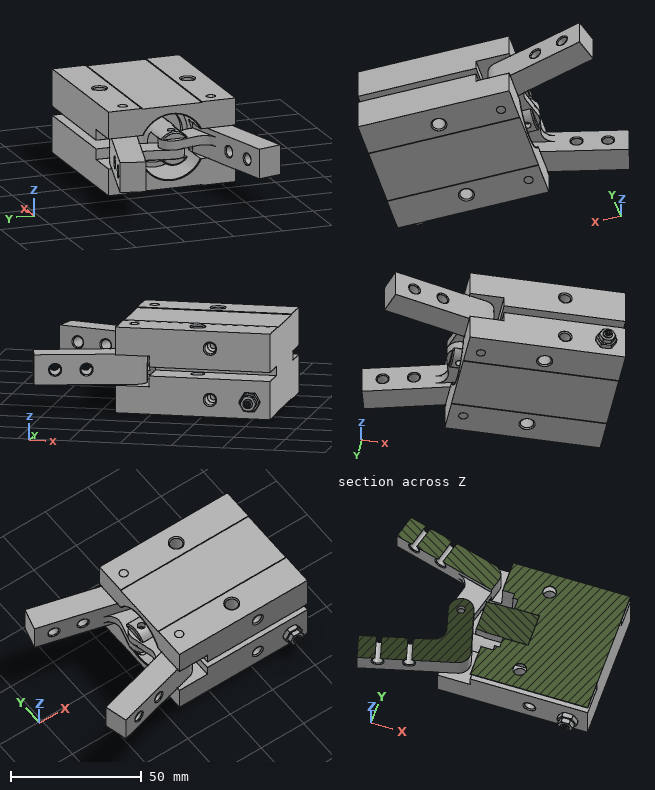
import cadquery as cq
import math


BODY_LENGTH = 60.5
BODY_WIDTH = 52.0
BODY_HEIGHT = 33.5
RECESS_WIDTH = 24.4
RECESS_DEPTH = 0.3

JAW_SLOT_DEPTH = 13.2
JAW_SLOT_HEIGHT = 11.9
BORE_DIAMETER = 26.2
BORE_DEPTH = 18.0
BORE_CHAMFER = 0.3
STEP_BORE_DIAMETER = 22.3
STEP_BORE_DEPTH = BORE_DEPTH + 2.0

SIDE_GROOVE_HEIGHT = 3.5
SIDE_GROOVE_DEPTH = 11.3

HOLE_OFFSET_Y = 18.0
THROUGH_HOLE_X = 30.5
THROUGH_HOLE_DIAMETER = 5.1
THROUGH_HOLE_CHAMFER = 0.5
SIDE_HOLE_X = 37.0
SIDE_HOLE_Z = 10.0
SIDE_HOLE_DIAMETER = 4.2
SIDE_HOLE_MOUTH_DIAMETER = 5.2
SIDE_HOLE_TIP_DIAMETER = 2.4
SIDE_HOLE_DEPTH = 6.0
SIDE_HOLE_CHAMFER = (SIDE_HOLE_MOUTH_DIAMETER - SIDE_HOLE_DIAMETER) / 2
SIDE_HOLE_CONE = (SIDE_HOLE_DIAMETER - SIDE_HOLE_TIP_DIAMETER) / 2

FITTING_X = 52.7
FITTING_Z = -SIDE_HOLE_Z
HEX_SIZES = [(7.0, 2.0), (5.6, 2.0)]
HEX_CHAMFER = 0.3
COLLAR_DIAMETER = 3.6
COLLAR_LENGTH = 0.4
NECK_DIAMETER = 2.0
NECK_LENGTH = 0.4
TIP_DIAMETER = 2.5
TIP_LENGTH = 0.6
TIP_CHAMFER = 0.25
TIP_HOLE_DIAMETER = 1.0
TIP_HOLE_DEPTH = 1.0

PIVOT_X = 5.7
PIVOT_Y = HOLE_OFFSET_Y
PIVOT_DIAMETER = 3.5
JAW_ANGLE = 15.0
JAW_WIDTH = 10.0
JAW_HEIGHT = JAW_SLOT_HEIGHT
JAW_REACH = 38.5
JAW_HALF = JAW_WIDTH / 2
JAW_HOLE_DIAMETER = 4.2
JAW_HOLE_CHAMFER = 0.4
JAW_HOLES_FROM_TIP = [8.0, 20.0]
LEVER_THICKNESS = 3.7
LEVER_FILLET = 5.0
LEVER_LENGTH = PIVOT_Y / math.cos(math.radians(JAW_ANGLE))

FORK_DIAMETER = 13.4
ROD_DIAMETER = 14.0
ROD_TAPER_START_X = 11.2
ROD_TAPER_END_X = 12.5
ROD_PROTRUSION = 2.6
ROD_END_X = 30.0
ROD_CHAMFER = 0.5
ROD_SLOT_HEIGHT = 8.0
ROD_SLOT_END_X = 9.0
LINK_HOLE_DIAMETER = 3.0
LINK_HOLE_X = PIVOT_X - LEVER_LENGTH * math.sin(math.radians(JAW_ANGLE))


def box(x0, x1, y0, y1, z0, z1):
    return cq.Workplane("XY").box(x1 - x0, y1 - y0, z1 - z0, centered=False).translate((x0, y0, z0))


def cylinder_along_x(diameter, x0, x1):
    return cq.Workplane("YZ", origin=(x0, 0, 0)).circle(diameter / 2).extrude(x1 - x0)


def cone_along_x(start_diameter, end_diameter, x0, x1):
    cone = cq.Solid.makeCone(
        start_diameter / 2, end_diameter / 2, x1 - x0, cq.Vector(x0, 0, 0), cq.Vector(1, 0, 0))
    return cq.Workplane(obj=cone)


def mouth_cutter():
    """Jaw slot, stepped bore and rod hole, all open at the mouth."""
    half_width = BODY_WIDTH / 2
    half_slot = JAW_SLOT_HEIGHT / 2
    cutter = box(0, JAW_SLOT_DEPTH, -half_width, half_width, -half_slot, half_slot)
    cutter = cutter.union(cylinder_along_x(BORE_DIAMETER, 0, BORE_DEPTH))
    cutter = cutter.union(cone_along_x(BORE_DIAMETER + 2 * BORE_CHAMFER, BORE_DIAMETER, 0, BORE_CHAMFER))
    cutter = cutter.union(cylinder_along_x(STEP_BORE_DIAMETER, 0, STEP_BORE_DEPTH))
    return cutter.union(cylinder_along_x(ROD_DIAMETER, 0, ROD_END_X))


def through_hole_cutter(y):
    """Vertical hole, chamfered at both ends."""
    radius = THROUGH_HOLE_DIAMETER / 2
    wide = radius + THROUGH_HOLE_CHAMFER
    half = BODY_HEIGHT / 2
    inner = half - THROUGH_HOLE_CHAMFER
    profile = [(0, -half), (wide, -half), (radius, -inner), (radius, inner), (wide, half), (0, half)]
    hole = cq.Workplane("XZ").polyline(profile).close().revolve(360, (0, 0, 0), (0, 1, 0))
    return hole.translate((THROUGH_HOLE_X, y, 0))


def side_hole_cutter(z):
    """Blind hole in the -Y side with a chamfered mouth and a tapered bottom."""
    profile = [
        (0, 0),
        (SIDE_HOLE_MOUTH_DIAMETER / 2, 0),
        (SIDE_HOLE_DIAMETER / 2, SIDE_HOLE_CHAMFER),
        (SIDE_HOLE_DIAMETER / 2, SIDE_HOLE_DEPTH - SIDE_HOLE_CONE),
        (SIDE_HOLE_TIP_DIAMETER / 2, SIDE_HOLE_DEPTH),
        (0, SIDE_HOLE_DEPTH),
    ]
    hole = cq.Workplane("XY").polyline(profile).close().revolve(360, (0, 0, 0), (0, 1, 0))
    return hole.translate((SIDE_HOLE_X, -BODY_WIDTH / 2, z))


def hex_nut(across_flats, length):
    """Hexagon along +Z with flats facing +-Y and its corners chamfered at both ends."""
    corner_diameter = across_flats / math.cos(math.radians(30))
    hexagon = cq.Workplane("XY").polygon(6, corner_diameter).extrude(length)
    envelope = cq.Workplane("XY").circle(corner_diameter / 2).extrude(length)
    return hexagon.intersect(envelope.edges().chamfer(HEX_CHAMFER))


def make_fitting():
    """Hose fitting that stands out of the -Y side of the housing."""
    (base_flats, base_length), (top_flats, top_length) = HEX_SIZES
    fitting = hex_nut(base_flats, base_length)
    fitting = fitting.union(hex_nut(top_flats, top_length).translate((0, 0, base_length)))
    top = base_length + top_length
    for diameter, length in [
        (COLLAR_DIAMETER, COLLAR_LENGTH), (NECK_DIAMETER, NECK_LENGTH), (TIP_DIAMETER, TIP_LENGTH),
    ]:
        fitting = fitting.union(
            cq.Workplane("XY", origin=(0, 0, top)).circle(diameter / 2).extrude(length))
        top += length
    fitting = fitting.faces(">Z").edges().chamfer(TIP_CHAMFER)
    fitting = fitting.faces(">Z").workplane().hole(TIP_HOLE_DIAMETER, TIP_HOLE_DEPTH)
    return fitting.rotate((0, 0, 0), (1, 0, 0), 90).translate((FITTING_X, -BODY_WIDTH / 2, FITTING_Z))


def make_housing():
    half_width = BODY_WIDTH / 2
    half_height = BODY_HEIGHT / 2
    half_recess = RECESS_WIDTH / 2
    half_groove = SIDE_GROOVE_HEIGHT / 2
    body = box(0, BODY_LENGTH, -half_width, half_width, -half_height, half_height)

    recess_floor = half_height - RECESS_DEPTH
    body = body.cut(box(0, BODY_LENGTH, -half_recess, half_recess, recess_floor, half_height))
    body = body.cut(box(0, BODY_LENGTH, -half_recess, half_recess, -half_height, -recess_floor))

    body = body.cut(mouth_cutter())
    for side in (-1, 1):
        groove_edges = sorted((side * half_width, side * (half_width - SIDE_GROOVE_DEPTH)))
        body = body.cut(box(0, BODY_LENGTH, *groove_edges, -half_groove, half_groove))
        body = body.cut(through_hole_cutter(side * HOLE_OFFSET_Y))
        body = body.cut(side_hole_cutter(side * SIDE_HOLE_Z))
        pivot_hole = cq.Workplane("XY").circle(PIVOT_DIAMETER / 2).extrude(half_height, both=True)
        body = body.cut(pivot_hole.translate((PIVOT_X, side * PIVOT_Y, 0)))
    return body.union(make_fitting())


def jaw_bar():
    """Finger bar centred on the pivot: outer rear corner round, inner rear corner square."""
    return (
        cq.Workplane("XY", origin=(0, 0, -JAW_HEIGHT / 2))
        .moveTo(-JAW_REACH, -JAW_HALF)
        .lineTo(0, -JAW_HALF)
        .radiusArc((JAW_HALF, 0), -JAW_HALF)
        .lineTo(JAW_HALF, JAW_HALF)
        .lineTo(-JAW_REACH, JAW_HALF)
        .close()
        .extrude(JAW_HEIGHT)
    )


def jaw_lever():
    """Half-height lever from the bar to the rod, with a round end about the link hole."""
    fillet_end = JAW_HALF + LEVER_FILLET
    lever = (
        cq.Workplane("XY")
        .moveTo(JAW_HALF, 0)
        .lineTo(JAW_HALF, LEVER_LENGTH)
        .threePointArc((0, LEVER_LENGTH + JAW_HALF), (-JAW_HALF, LEVER_LENGTH))
        .lineTo(-JAW_HALF, fillet_end)
        .radiusArc((-JAW_HALF - LEVER_FILLET, JAW_HALF), LEVER_FILLET)
        .lineTo(-JAW_HALF - LEVER_FILLET, 0)
        .close()
        .extrude(LEVER_THICKNESS)
    )
    link_hole = cq.Workplane("XY").center(0, LEVER_LENGTH).circle(LINK_HOLE_DIAMETER / 2)
    return lever.cut(link_hole.extrude(LEVER_THICKNESS))


def jaw_hole_cutter(x):
    """Hole across the finger bar, chamfered at both faces."""
    radius = JAW_HOLE_DIAMETER / 2
    wide = radius + JAW_HOLE_CHAMFER
    inner = JAW_HALF - JAW_HOLE_CHAMFER
    profile = [
        (0, -JAW_HALF),
        (wide, -JAW_HALF),
        (radius, -inner),
        (radius, inner),
        (wide, JAW_HALF),
        (0, JAW_HALF),
    ]
    hole = cq.Workplane("XY").polyline(profile).close().revolve(360, (0, 0, 0), (0, 1, 0))
    return hole.translate((x, 0, 0))


def make_jaw():
    """Jaw on the -Y side with its flush pivot pin and its lever above mid-height."""
    jaw = jaw_bar().union(jaw_lever())
    for from_tip in JAW_HOLES_FROM_TIP:
        jaw = jaw.cut(jaw_hole_cutter(from_tip - JAW_REACH))
    pin = cq.Workplane("XY").circle(PIVOT_DIAMETER / 2).extrude(BODY_HEIGHT / 2, both=True)
    jaw = jaw.union(pin)
    return jaw.rotate((0, 0, 0), (0, 0, 1), JAW_ANGLE).translate((PIVOT_X, -PIVOT_Y, 0))


def make_rod():
    """Piston rod, forked at its front end around both levers, with a tapered shoulder behind the fork."""
    half_slot = ROD_SLOT_HEIGHT / 2
    half_width = FORK_DIAMETER / 2
    fork = cylinder_along_x(FORK_DIAMETER, -ROD_PROTRUSION, ROD_TAPER_START_X)
    rod = fork.faces("<X").edges().chamfer(ROD_CHAMFER)
    rod = rod.union(cone_along_x(FORK_DIAMETER, ROD_DIAMETER, ROD_TAPER_START_X, ROD_TAPER_END_X))
    rod = rod.union(cylinder_along_x(ROD_DIAMETER, ROD_TAPER_END_X, ROD_END_X))
    rod = rod.cut(box(-ROD_PROTRUSION, ROD_SLOT_END_X, -half_width, half_width, -half_slot, half_slot))
    link_hole = cq.Workplane("XY").circle(LINK_HOLE_DIAMETER / 2).extrude(FORK_DIAMETER, both=True)
    return rod.cut(link_hole.translate((LINK_HOLE_X, 0, 0)))


housing = make_housing()
rod = make_rod()
jaws = [make_jaw().rotate((0, 0, 0), (1, 0, 0), turn) for turn in (0, 180)]

result = cq.Compound.makeCompound([housing.val(), rod.val(), *[jaw.val() for jaw in jaws]])